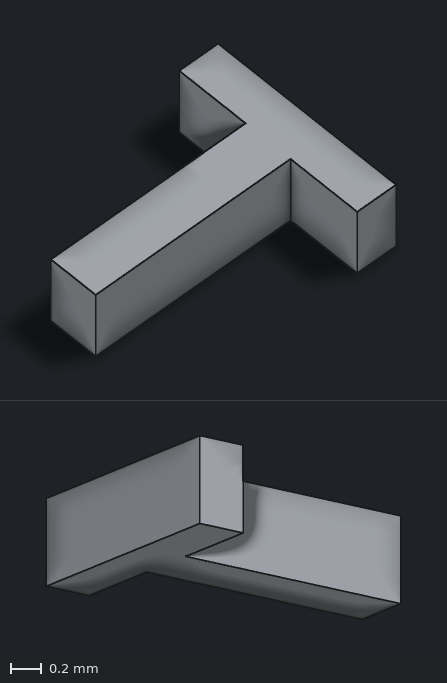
import cadquery as cq

total_length = 2.08
bar_width = 1.69
bar_depth = 0.347
stem_width = 0.426
left_overhang = 0.63
thickness = 0.6

bar_left = -bar_width / 2
stem_left = bar_left + left_overhang
bar_front = total_length - bar_depth


def block(x_start, y_start, width, length):
    """Block standing on the base plane with its lower corner at the given X and Y."""
    return (
        cq.Workplane("XY")
        .box(width, length, thickness, centered=False)
        .translate((x_start, y_start, 0))
    )


stem = block(stem_left, 0, stem_width, total_length)
crossbar = block(bar_left, bar_front, bar_width, bar_depth)

result = stem.union(crossbar).clean()